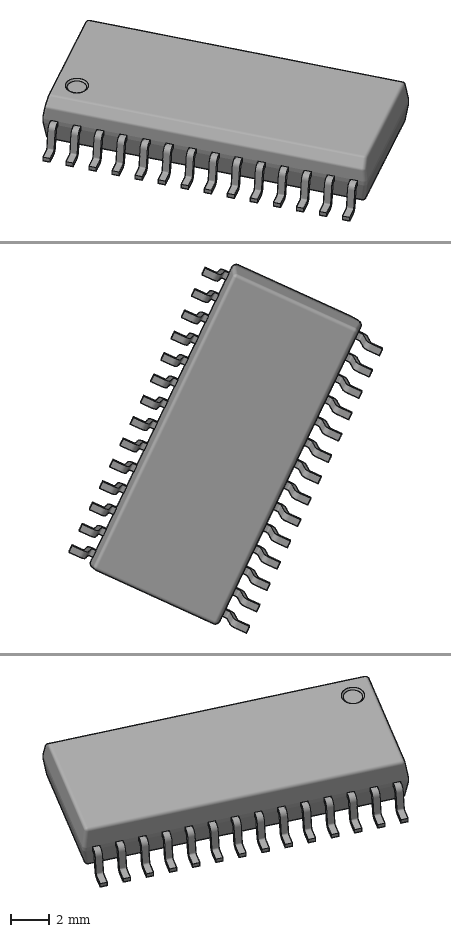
import cadquery as cq
import math

body_length = 17.9
body_width = 7.5
body_top = 2.85
body_bottom = 0.2
belt_height = 0.25
draft_angle = 8.0
bevel_leg = 0.43
edge_radius = 0.2

leads_per_side = 14
lead_pitch = 1.27
lead_width = 0.4
lead_thickness = 0.25
lead_span = 10.3
foot_length = 0.6
lead_lean = 10.0
bend_inner_radius = 0.1
lead_embed = 0.5

dimple_x = -7.58
dimple_y = -1.97
dimple_rim_radius = 0.61
dimple_floor_radius = 0.51
dimple_depth = 0.1

belt_middle = (body_top + body_bottom) / 2
belt_top = belt_middle + belt_height / 2
belt_bottom = belt_middle - belt_height / 2
half_height = body_top - belt_top
height_tolerance = 0.01
draft_inset = half_height * math.tan(math.radians(draft_angle))


def make_body():
    """Straight belt with drafted halves, a bevelled top edge on -Y and rounded edges."""
    def block(height, taper):
        return cq.Workplane("XY").rect(body_length, body_width).extrude(height, taper=taper)

    belt = block(belt_height, 0).translate((0, 0, belt_bottom))
    upper = block(half_height, draft_angle).translate((0, 0, belt_top))
    lower = block(-half_height, draft_angle).translate((0, 0, belt_bottom))
    body = belt.union(upper).union(lower)

    top_front = -(body_width / 2 - draft_inset)
    bevel = (
        cq.Workplane("YZ")
        .moveTo(top_front + bevel_leg, body_top)
        .line(-2 * bevel_leg, 0)
        .line(0, -2 * bevel_leg)
        .close()
        .extrude(body_length / 2, both=True)
    )
    body = body.cut(bevel)

    def borders_belt(edge):
        box = edge.BoundingBox()
        is_level = box.zlen < height_tolerance
        on_belt = min(abs(box.center.z - belt_top), abs(box.center.z - belt_bottom)) < height_tolerance
        return is_level and on_belt

    rounded = [edge for edge in body.edges().vals() if not borders_belt(edge)]
    return body.newObject(rounded).fillet(edge_radius)


def polar(centre, radius, degrees):
    """Point on a circle in the lead's (Y, Z) plane."""
    angle = math.radians(degrees)
    return (centre[0] + radius * math.cos(angle), centre[1] + radius * math.sin(angle))


def make_lead():
    """One gull-wing lead on the +Y side, centred on X = 0."""
    outer_radius = bend_inner_radius + lead_thickness
    tip_y = lead_span / 2
    lean = math.radians(lead_lean)

    heel = (tip_y - foot_length, outer_radius)
    shoulder_z = belt_top - outer_radius
    leg_drop = shoulder_z - heel[1]
    reach = (bend_inner_radius + outer_radius + leg_drop * math.sin(lean)) / math.cos(lean)
    shoulder = (heel[0] - reach, shoulder_z)

    mid_up = (90 + lead_lean) / 2
    mid_down = 180 + mid_up
    root_y = body_width / 2 - lead_embed
    profile = (
        cq.Workplane("YZ")
        .moveTo(root_y, belt_top)
        .lineTo(shoulder[0], belt_top)
        .threePointArc(polar(shoulder, outer_radius, mid_up), polar(shoulder, outer_radius, lead_lean))
        .lineTo(*polar(heel, bend_inner_radius, 180 + lead_lean))
        .threePointArc(polar(heel, bend_inner_radius, mid_down), polar(heel, bend_inner_radius, 270))
        .lineTo(tip_y, lead_thickness)
        .lineTo(tip_y, 0)
        .lineTo(heel[0], 0)
        .threePointArc(polar(heel, outer_radius, mid_down), polar(heel, outer_radius, 180 + lead_lean))
        .lineTo(*polar(shoulder, bend_inner_radius, lead_lean))
        .threePointArc(polar(shoulder, bend_inner_radius, mid_up), polar(shoulder, bend_inner_radius, 90))
        .lineTo(root_y, belt_top - lead_thickness)
        .close()
    )
    return profile.extrude(lead_width / 2, both=True)


def add_leads(body):
    rear_lead = make_lead()
    front_lead = rear_lead.mirror("XZ")
    for index in range(leads_per_side):
        x = (index - (leads_per_side - 1) / 2) * lead_pitch
        body = body.union(rear_lead.translate((x, 0, 0)))
        body = body.union(front_lead.translate((x, 0, 0)))
    return body


def cut_dimple(body):
    """Conical-walled dimple beside pin one."""
    wall_taper = math.degrees(math.atan2(dimple_rim_radius - dimple_floor_radius, dimple_depth))
    dimple = (
        cq.Workplane("XY", origin=(dimple_x, dimple_y, body_top))
        .circle(dimple_rim_radius)
        .extrude(-dimple_depth, taper=wall_taper)
    )
    return body.cut(dimple)


result = cut_dimple(add_leads(make_body()))